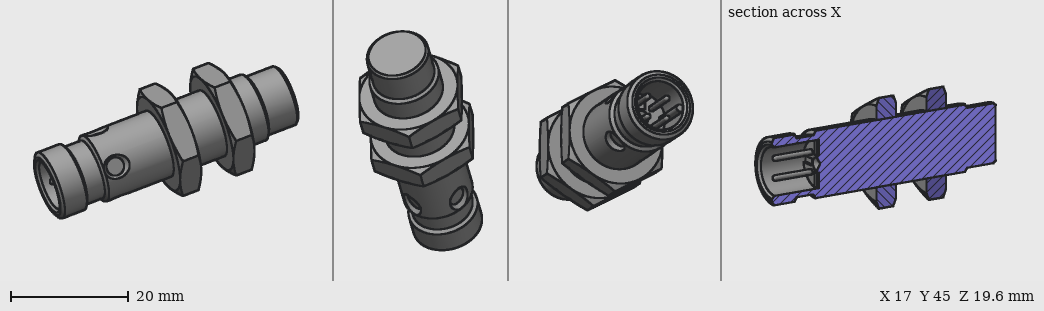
import cadquery as cq
import math

length = 45.0

barrel_radius = 12.0 / 2
neck_radius = 10.55 / 2
boss_radius = 10.7 / 2
chamfer_length = 0.45
boss_chamfer_width = 0.4
neck_start = 5.05
neck_end = 8.32
boss_start = 39.3

socket_radius = 8.5 / 2
socket_depth = 9.0
mouth_radius = 4.75
mouth_depth = 0.5

pin_radius = 1.0 / 2
pin_offset = 1.75
pin_tip = 1.35

key_radius = 0.65
key_center = 3.75
key_tip = 0.8
slot_width = 1.25
slot_inner = 1.55
slot_depth = 0.45
dimple_radius = 2.4 / 2
dimple_depth = 0.68
slot_angles = (90, 180, 270)

window_y = 11.05
window_floor_radius = 1.58
window_floor_height = 5.15
window_rim_radius = 2.35
window_angles = (45, 135, 225, 315)

nut_flats = 17.0
nut_thickness = 4.0
nut_chamfer = 0.55
nut_starts = (20.95, 31.0)


def revolve_profile(points):
    """Revolve a closed (radius, Y) outline about the Y axis."""
    return cq.Workplane("XY").polyline(points).close().revolve(360, (0, 0), (0, 1))


def plane_at(y):
    """XZ workplane at the given Y, with local X along -X, local Y along Z and its normal toward +Y."""
    return cq.Workplane(cq.Plane(origin=(0, y, 0), xDir=(-1, 0, 0), normal=(0, 1, 0)))


def make_shell():
    """Turned barrel with its neck, rear boss and chamfers, and the socket with its bevelled mouth."""
    return revolve_profile([
        (0, socket_depth),
        (socket_radius, socket_depth),
        (socket_radius, mouth_depth),
        (mouth_radius, 0),
        (neck_radius, 0),
        (barrel_radius, chamfer_length),
        (barrel_radius, neck_start - chamfer_length),
        (neck_radius, neck_start),
        (neck_radius, neck_end),
        (barrel_radius, neck_end + chamfer_length),
        (barrel_radius, boss_start - chamfer_length),
        (boss_radius, boss_start),
        (boss_radius, length - chamfer_length),
        (boss_radius - boss_chamfer_width, length),
        (0, length),
    ])


def make_pin(x, z):
    """Round contact with a hemispherical tip, standing on the socket floor."""
    dome_start = pin_tip + pin_radius
    dome_mid = pin_radius * math.sqrt(0.5)
    profile = (
        cq.Workplane("XY")
        .moveTo(0, pin_tip)
        .threePointArc((dome_mid, dome_start - dome_mid), (pin_radius, dome_start))
        .lineTo(pin_radius, socket_depth)
        .lineTo(0, socket_depth)
        .close()
    )
    return profile.revolve(360, (0, 0), (0, 1)).translate((x, 0, z))


def make_key():
    """Round-nosed rib on the +X socket wall, running from its tip to the floor."""
    rib_length = socket_depth - key_tip
    root_length = (socket_radius + neck_radius) / 2 - key_center
    nose = plane_at(key_tip).center(-key_center, 0).circle(key_radius).extrude(rib_length)
    root = (
        plane_at(key_tip)
        .center(-key_center - root_length / 2, 0)
        .rect(root_length, 2 * key_radius)
        .extrude(rib_length)
    )
    return nose.union(root)


def make_slot(angle):
    """Radial recess in the socket floor, trimmed to the socket wall."""
    slot_length = socket_radius - slot_inner
    bar = (
        plane_at(socket_depth)
        .center(-slot_inner - slot_length / 2, 0)
        .rect(slot_length, slot_width)
        .extrude(slot_depth)
        .rotate((0, 0, 0), (0, 1, 0), angle)
    )
    return bar.intersect(plane_at(socket_depth).circle(socket_radius).extrude(slot_depth))


def make_dimple():
    """Conical pit at the centre of the socket floor."""
    return revolve_profile([
        (0, socket_depth),
        (dimple_radius, socket_depth),
        (0, socket_depth + dimple_depth),
    ])


def make_window(angle):
    """Conical cutter with a flat floor, opening outward through the barrel surface."""
    rim_height = barrel_radius - window_floor_height
    widening = (window_rim_radius - window_floor_radius) / rim_height
    cone_height = 2 * rim_height
    cone = cq.Solid.makeCone(
        window_floor_radius,
        window_floor_radius + widening * cone_height,
        cone_height,
        pnt=cq.Vector(window_floor_height, window_y, 0),
        dir=cq.Vector(1, 0, 0),
    )
    return cone.rotate(cq.Vector(0, 0, 0), cq.Vector(0, 1, 0), angle)


def make_housing():
    """Complete sensor housing with its contacts."""
    body = make_shell().union(make_key())
    for angle in slot_angles:
        body = body.cut(make_slot(angle))
    body = body.cut(make_dimple())
    for angle in window_angles:
        body = body.cut(cq.Workplane(make_window(angle)))
    for x in (-pin_offset, pin_offset):
        for z in (-pin_offset, pin_offset):
            body = body.union(make_pin(x, z))
    return body


def make_nut(start):
    """Hexagon nut with corners along Z, chamfered on both faces and bored to fit the barrel."""
    corner_radius = nut_flats / math.sqrt(3)
    face_radius = nut_flats / 2
    end = start + nut_thickness
    hexagon = (
        plane_at(start)
        .polygon(6, 2 * corner_radius)
        .extrude(nut_thickness)
        .rotate((0, 0, 0), (0, 1, 0), 30)
    )
    chamfered_ring = revolve_profile([
        (barrel_radius, start),
        (face_radius, start),
        (corner_radius, start + nut_chamfer),
        (corner_radius, end - nut_chamfer),
        (face_radius, end),
        (barrel_radius, end),
    ])
    return hexagon.intersect(chamfered_ring)


housing = make_housing()
nuts = [make_nut(start) for start in nut_starts]

result = cq.Compound.makeCompound([housing.val(), *[nut.val() for nut in nuts]])